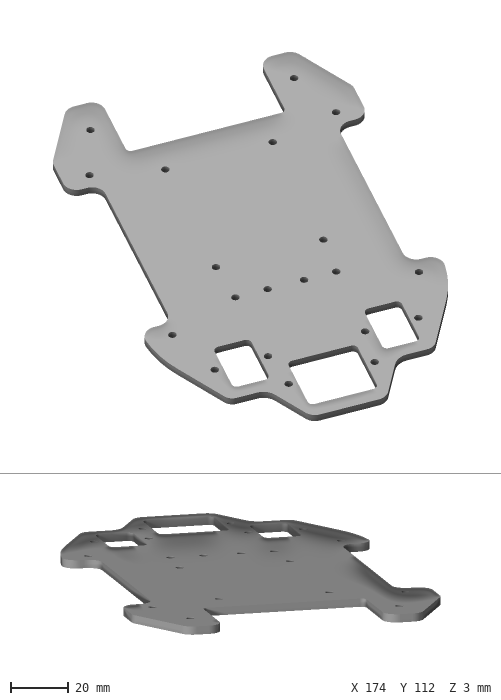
import cadquery as cq
import math

LENGTH = 174.0
WIDTH = 112.0
THICKNESS = 3.0
FRONT_X = LENGTH / 2
REAR_X = -FRONT_X
HALF_WIDTH = WIDTH / 2
BEVEL_SLOPE = math.tan(math.radians(30))

NOTCH_X = REAR_X + 27.8
NOTCH_HALF_WIDTH = 29.5
ARM_BEVEL_LENGTH = 23.8
ARM_FRONT_X = -47.2

BODY_HALF_WIDTH = 43.8
FENDER_REAR_X = 26.1
FENDER_FRONT_X = 69.3
FENDER_FRONT_Y = 38.1
FENDER_ARC_RADIUS = 43.0
FENDER_ARC_END_X = 48.4

NOSE_HALF_WIDTH = 14.0

CORNER_RADIUS = 5.0
NOTCH_RADIUS = 2.0
FENDER_TIP_RADIUS = 4.4
NOSE_ROOT_RADIUS = 6.5

WINDOW_RADIUS = 2.0
SIDE_WINDOW_LENGTH = 21.0
SIDE_WINDOW_WIDTH = 13.7
SIDE_WINDOW_X = 53.6
SIDE_WINDOW_Y = 28.0
NOSE_WINDOW_LENGTH = 23.0
NOSE_WINDOW_WIDTH = 25.8
NOSE_WINDOW_X = 70.0

HOLE_DIAMETER = 3.0
HOLE_POSITIONS = [
    (-74.0, 38.0),
    (-52.9, 46.0),
    (-46.5, 20.0),
    (5.4, 20.0),
    (22.0, 18.8),
    (22.0, 6.8),
    (32.0, 46.0),
    (53.5, 38.0),
    (53.5, 18.1),
    (68.9, 16.0),
]


def fender_arc():
    """Return the start, middle and end of the arc that runs tangent into the fender bevel."""
    end_y = FENDER_FRONT_Y + (FENDER_FRONT_X - FENDER_ARC_END_X) * BEVEL_SLOPE
    end_angle = math.radians(60)
    center_x = FENDER_ARC_END_X - FENDER_ARC_RADIUS * math.cos(end_angle)
    center_y = end_y - FENDER_ARC_RADIUS * math.sin(end_angle)
    start_angle = math.acos((FENDER_REAR_X - center_x) / FENDER_ARC_RADIUS)
    angles = (start_angle, (start_angle + end_angle) / 2, end_angle)
    return [
        (center_x + FENDER_ARC_RADIUS * math.cos(a), center_y + FENDER_ARC_RADIUS * math.sin(a))
        for a in angles
    ]


def round_corners(plate, corners, radius):
    """Round the upright edges of the plate at the given XY corners."""
    for x, y in corners:
        edge = cq.selectors.NearestToPointSelector((x, y, THICKNESS / 2))
        plate = plate.edges("|Z").edges(edge).fillet(radius)
    return plate


def half_plate():
    """Build the +Y half of the plate with its outline corners rounded."""
    arc_start, arc_middle, arc_end = fender_arc()
    notch_corner = (NOTCH_X, NOTCH_HALF_WIDTH)
    arm_corners = [
        (REAR_X, NOTCH_HALF_WIDTH),
        (REAR_X, HALF_WIDTH - ARM_BEVEL_LENGTH * BEVEL_SLOPE),
        (REAR_X + ARM_BEVEL_LENGTH, HALF_WIDTH),
        (ARM_FRONT_X, HALF_WIDTH),
    ]
    body_corners = [(ARM_FRONT_X, BODY_HALF_WIDTH), (FENDER_REAR_X, BODY_HALF_WIDTH)]
    nose_root_y = NOSE_HALF_WIDTH + (FRONT_X - FENDER_FRONT_X) * BEVEL_SLOPE
    nose_root = (FENDER_FRONT_X, nose_root_y)
    fender_tip = (FENDER_FRONT_X, FENDER_FRONT_Y)
    nose_tip = (FRONT_X, NOSE_HALF_WIDTH)
    outline = cq.Workplane("XY").moveTo(NOTCH_X, 0)
    for corner in [notch_corner] + arm_corners + body_corners + [arc_start]:
        outline = outline.lineTo(*corner)
    outline = outline.threePointArc(arc_middle, arc_end)
    for corner in [fender_tip, nose_root, nose_tip]:
        outline = outline.lineTo(*corner)
    plate = outline.lineTo(FRONT_X, 0).close().extrude(THICKNESS)
    plate = round_corners(plate, [notch_corner], NOTCH_RADIUS)
    plate = round_corners(plate, [fender_tip], FENDER_TIP_RADIUS)
    plate = round_corners(plate, [nose_root], NOSE_ROOT_RADIUS)
    return round_corners(plate, arm_corners + body_corners + [arc_start, nose_tip], CORNER_RADIUS)


def window(length, width, centers):
    """Build rounded rectangular cutters at the given centers."""
    cutter = cq.Workplane("XY").pushPoints(centers).rect(length, width).extrude(THICKNESS)
    return cutter.edges("|Z").fillet(WINDOW_RADIUS)


def screw_holes():
    """Build the cutters for all screw holes on both halves."""
    centers = [(x, side * y) for x, y in HOLE_POSITIONS for side in (1, -1)]
    return cq.Workplane("XY").pushPoints(centers).circle(HOLE_DIAMETER / 2).extrude(THICKNESS)


half = half_plate()
plate = half.union(half.mirror("XZ")).clean()

side_window_centers = [(SIDE_WINDOW_X, SIDE_WINDOW_Y), (SIDE_WINDOW_X, -SIDE_WINDOW_Y)]
plate = plate.cut(window(SIDE_WINDOW_LENGTH, SIDE_WINDOW_WIDTH, side_window_centers))
plate = plate.cut(window(NOSE_WINDOW_LENGTH, NOSE_WINDOW_WIDTH, [(NOSE_WINDOW_X, 0)]))

result = plate.cut(screw_holes())